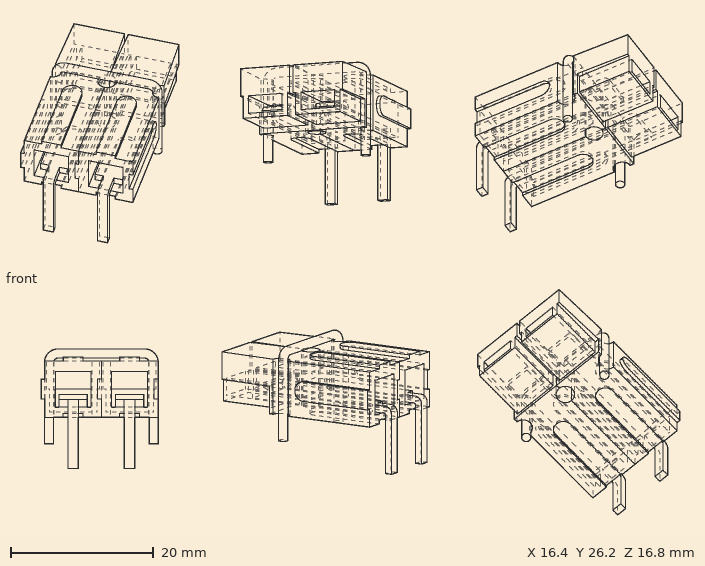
import cadquery as cq


housing_side = 7.9
housing_length = 24.58
half_side = housing_side / 2
pole_centers = (-half_side, half_side)

nose_length = 8.02
nose_taper = 0.25
lower_nose_side_inset = 0.63
lower_nose_bottom_inset = 0.79
shoulder_y = housing_length - nose_length

cavity_side = 5.0
cavity_floor_z = -cavity_side / 2

tongue_width = 2.8
tongue_height = 0.52
tongue_length = 12.05

notch_diameter = 2.57
notch_y = 14.67

contact_thickness = 1.02
plate_width = 4.0
plate_start_y = 1.57
plate_end_y = housing_length - nose_length / 2
pin_width = 1.5
pin_back_y = -1.62
pin_bottom_z = -11.14
bend_outer_radius = 1.05
bend_inner_radius = 0.2
hump_height = 0.75
hump_length = 2.88

wire_diameter = 1.3
leg_spacing = 14.67
staple_rise = 1.7
staple_height = 13.34
staple_bend_radius = 1.28


def block(x_size, y_start, y_end, z_start, z_end):
    """A box centred on X = 0 between the given Y and Z limits."""
    corner = (-x_size / 2, y_start, z_start)
    return cq.Workplane("XY").box(x_size, y_end - y_start, z_end - z_start, centered=False).translate(corner)


def make_tongue():
    """A round-ended bar whose foot is at Z = 0, running forward from the rear face."""
    half_width = tongue_width / 2
    straight_end = tongue_length - half_width
    return (
        cq.Workplane("XY")
        .moveTo(-half_width, 0)
        .lineTo(-half_width, straight_end)
        .threePointArc((0, tongue_length), (half_width, straight_end))
        .lineTo(half_width, 0)
        .close()
        .extrude(tongue_height)
    )


def make_nose():
    """The solid tapered upper half and the plain lower half in front of the shoulder."""
    tip_half_width = half_side - nose_taper
    upper = (
        cq.Workplane("XY")
        .polyline(
            [
                (-half_side, shoulder_y),
                (-tip_half_width, housing_length),
                (tip_half_width, housing_length),
                (half_side, shoulder_y),
            ]
        )
        .close()
        .extrude(half_side)
    )
    lower_width = housing_side - 2 * lower_nose_side_inset
    lower = block(lower_width, shoulder_y, housing_length, -half_side + lower_nose_bottom_inset, 0)
    return upper.union(lower)


def make_cavity():
    """Full height behind the shoulder, and the lower half only through the nose."""
    rear = block(cavity_side, 0, shoulder_y, cavity_floor_z, -cavity_floor_z)
    front = block(cavity_side, shoulder_y, housing_length, cavity_floor_z, 0)
    return rear.union(front)


def make_housing(center_x):
    tongue = make_tongue()
    side_tongue = tongue.rotate((0, 0, 0), (0, 1, 0), -90)
    top_tongue = tongue.translate((0, 0, half_side))
    left_tongue = side_tongue.translate((-half_side, 0, 0))
    bottom_groove = tongue.translate((0, 0, -half_side))
    right_groove = side_tongue.translate((half_side, 0, 0))
    notches = (
        cq.Workplane("XY", origin=(0, notch_y, -half_side))
        .pushPoints([(-half_side, 0), (half_side, 0)])
        .circle(notch_diameter / 2)
        .extrude(housing_side)
    )
    return (
        block(housing_side, 0, shoulder_y, -half_side, half_side)
        .union(make_nose())
        .cut(make_cavity())
        .union(top_tongue)
        .union(left_tongue)
        .cut(bottom_groove)
        .cut(right_groove)
        .cut(notches)
        .translate((center_x, 0, 0))
    )


def make_contact(center_x):
    """A wide plate on the cavity floor with a hump at its tip and a narrow pin bent down at the rear."""
    top_z = cavity_floor_z + contact_thickness
    plate = block(plate_width, plate_start_y, plate_end_y, cavity_floor_z, top_z)
    hump_start_y = plate_end_y - hump_length
    hump = (
        cq.Workplane("YZ", origin=(-plate_width / 2, 0, 0))
        .moveTo(hump_start_y, top_z)
        .threePointArc((hump_start_y + hump_length / 2, top_z + hump_height), (plate_end_y, top_z))
        .close()
        .extrude(plate_width)
    )
    pin_front_y = pin_back_y + contact_thickness
    bend_outside = block(pin_width, pin_back_y, plate_start_y, pin_bottom_z, top_z)
    bend_inside = block(pin_width, pin_front_y, plate_start_y, pin_bottom_z, cavity_floor_z)
    pin = (
        bend_outside.edges("|X and <Y and >Z")
        .fillet(bend_outer_radius)
        .cut(bend_inside.edges("|X and <Y and >Z").fillet(bend_inner_radius))
    )
    return plate.union(hump).union(pin).translate((center_x, 0, 0))


def make_staple():
    """A round wire swept down one leg, across the top and down the other leg."""
    leg_x = leg_spacing / 2
    top_z = half_side + staple_rise
    bottom_z = top_z - staple_height
    bar_z = top_z - wire_diameter / 2
    leg_top_z = bar_z - staple_bend_radius
    bar_end_x = leg_x - staple_bend_radius
    path = (
        cq.Workplane("XZ", origin=(0, notch_y, 0))
        .moveTo(-leg_x, bottom_z)
        .lineTo(-leg_x, leg_top_z)
        .tangentArcPoint((-bar_end_x, bar_z), relative=False)
        .lineTo(bar_end_x, bar_z)
        .tangentArcPoint((leg_x, leg_top_z), relative=False)
        .lineTo(leg_x, bottom_z)
    )
    wire_section = cq.Workplane("XY", origin=(-leg_x, notch_y, bottom_z)).circle(wire_diameter / 2)
    return wire_section.sweep(path)


housings = [make_housing(center_x) for center_x in pole_centers]
contacts = [make_contact(center_x) for center_x in pole_centers]
staple = make_staple()

bodies = [*housings, *contacts, staple]
result = cq.Compound.makeCompound([solid for body in bodies for solid in body.solids().vals()])